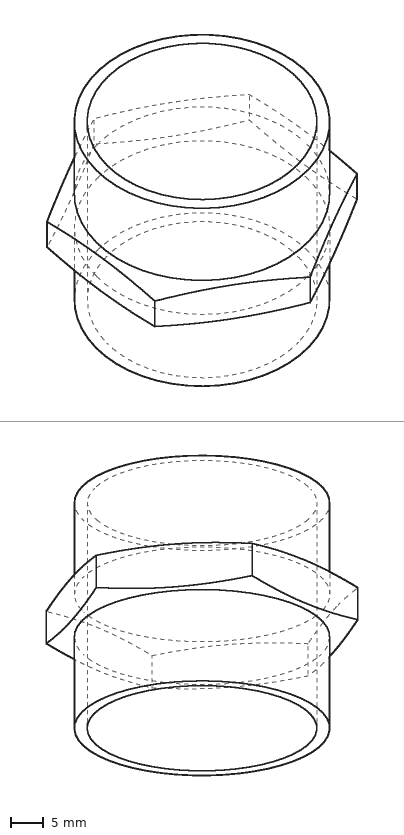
import cadquery as cq
import math

across_corners = 48.5
total_height = 37.0
tube_diameter = 38.95
bore_diameter = 35.0
hex_height = 7.05
chamfer_drop = 0.85

corner_radius = across_corners / 2
flat_radius = corner_radius * math.cos(math.pi / 6)
half_hex = hex_height / 2


def chamfered_hexagon():
    """Hexagonal collar, centred on the origin, with conically chamfered corners."""
    hexagon = cq.Workplane("XY").polygon(6, across_corners).extrude(half_hex, both=True)
    envelope = (
        cq.Workplane("XZ")
        .moveTo(0, -half_hex)
        .lineTo(flat_radius, -half_hex)
        .lineTo(corner_radius, -half_hex + chamfer_drop)
        .lineTo(corner_radius, half_hex - chamfer_drop)
        .lineTo(flat_radius, half_hex)
        .lineTo(0, half_hex)
        .close()
        .revolve(360, (0, 0), (0, 1))
    )
    return hexagon.intersect(envelope)


def centred_cylinder(diameter):
    """Full-height cylinder on the Z axis, centred on the origin."""
    return cq.Workplane("XY").circle(diameter / 2).extrude(total_height / 2, both=True)


body = centred_cylinder(tube_diameter).union(chamfered_hexagon())
result = body.cut(centred_cylinder(bore_diameter))